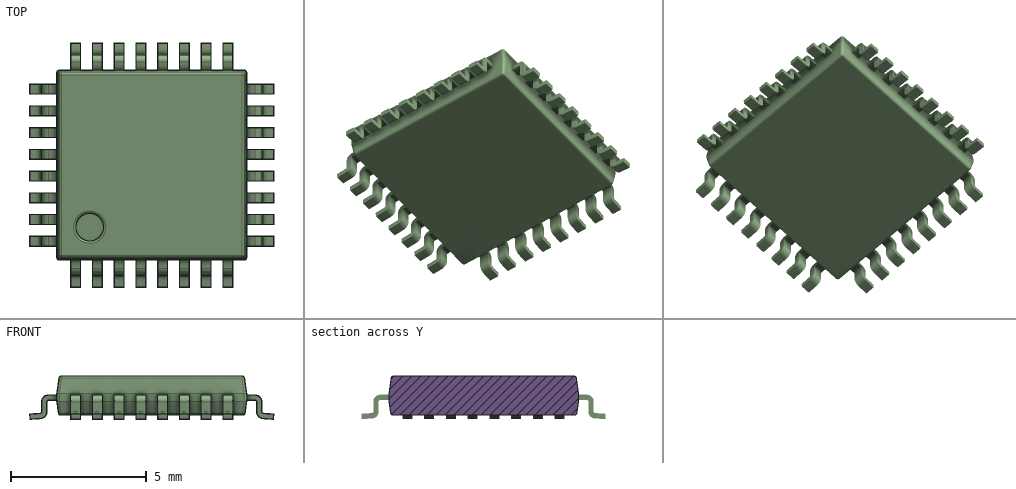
import cadquery as cq
import math

SPAN = 9.0
HEIGHT = 1.6

BODY_SIDE = 7.0
BODY_BOTTOM = 0.15
BAND_BOTTOM = 0.67
BAND_TOP = 0.945
DRAFT_ANGLE = 8.0
BODY_FILLET = 0.1

MARK_OFFSET = 2.29
MARK_RADIUS = 0.59
MARK_RIM_RADIUS = 0.1
MARK_DEPTH = 0.0495

SIDES = 4
LEADS_PER_SIDE = 8
LEAD_PITCH = 0.8
LEAD_WIDTH = 0.37
LEAD_THICKNESS = 0.2
LEAD_TOP = 0.9
LEAD_SHANK = 4.06
LEAD_EMBED = 0.18
BEND_RADIUS = 0.25
FOOT_SLOPE = 4.0


def make_body():
    """Square body: straight band with drafted halves above and below."""
    band = (
        cq.Workplane("XY", origin=(0, 0, BAND_BOTTOM))
        .rect(BODY_SIDE, BODY_SIDE)
        .extrude(BAND_TOP - BAND_BOTTOM)
    )
    upper = (
        cq.Workplane("XY", origin=(0, 0, BAND_TOP))
        .rect(BODY_SIDE, BODY_SIDE)
        .extrude(HEIGHT - BAND_TOP, taper=DRAFT_ANGLE)
    )
    lower = (
        cq.Workplane("XY", origin=(0, 0, BAND_BOTTOM))
        .rect(BODY_SIDE, BODY_SIDE)
        .extrude(BODY_BOTTOM - BAND_BOTTOM, taper=DRAFT_ANGLE)
    )
    body = band.union(upper).union(lower)
    body = body.edges("not #Z").fillet(BODY_FILLET)
    return body.faces("<Z or >Z").edges().fillet(BODY_FILLET)


def make_mark():
    """Shallow round recess marking pin one, its wall curving down from the top face."""
    wall_width = math.sqrt(MARK_RIM_RADIUS**2 - (MARK_RIM_RADIUS - MARK_DEPTH) ** 2)
    profile = (
        cq.Workplane("XZ", origin=(-MARK_OFFSET, -MARK_OFFSET, HEIGHT))
        .lineTo(MARK_RADIUS, 0)
        .radiusArc((MARK_RADIUS - wall_width, -MARK_DEPTH), -MARK_RIM_RADIUS)
        .lineTo(0, -MARK_DEPTH)
        .close()
    )
    return profile.revolve(360, (0, 0), (0, 1))


def make_lead():
    """One lead on the +X side, centred on the X axis, its foot sloping gently down to the tip."""
    slope = math.radians(FOOT_SLOPE)
    root = BODY_SIDE / 2 - LEAD_EMBED
    shank_inner = LEAD_SHANK - LEAD_THICKNESS
    underside = LEAD_TOP - LEAD_THICKNESS
    inner_radius = BEND_RADIUS - LEAD_THICKNESS

    tip_top = (SPAN / 2, LEAD_THICKNESS * math.cos(slope))
    tip_bottom = (SPAN / 2 - LEAD_THICKNESS * math.sin(slope), 0)

    heel_x = shank_inner + BEND_RADIUS
    foot_run = tip_bottom[0] - (heel_x - BEND_RADIUS * math.sin(slope))
    heel_z = BEND_RADIUS * math.cos(slope) + foot_run * math.tan(slope)

    def heel_end(radius):
        return (heel_x - radius * math.sin(slope), heel_z - radius * math.cos(slope))

    return (
        cq.Workplane("XZ", origin=(0, LEAD_WIDTH / 2, 0))
        .moveTo(root, LEAD_TOP)
        .lineTo(LEAD_SHANK - BEND_RADIUS, LEAD_TOP)
        .radiusArc((LEAD_SHANK, LEAD_TOP - BEND_RADIUS), BEND_RADIUS)
        .lineTo(LEAD_SHANK, heel_z)
        .radiusArc(heel_end(inner_radius), -inner_radius)
        .lineTo(*tip_top)
        .lineTo(*tip_bottom)
        .lineTo(*heel_end(BEND_RADIUS))
        .radiusArc((shank_inner, heel_z), BEND_RADIUS)
        .lineTo(shank_inner, underside - inner_radius)
        .radiusArc((shank_inner - inner_radius, underside), -inner_radius)
        .lineTo(root, underside)
        .close()
        .extrude(LEAD_WIDTH)
    )


result = make_body().cut(make_mark())
lead = make_lead()
row_start = -(LEADS_PER_SIDE - 1) / 2 * LEAD_PITCH
for side in range(SIDES):
    for index in range(LEADS_PER_SIDE):
        placed = lead.translate((0, row_start + index * LEAD_PITCH, 0))
        result = result.union(placed.rotate((0, 0, 0), (0, 0, 1), side * 360 / SIDES))